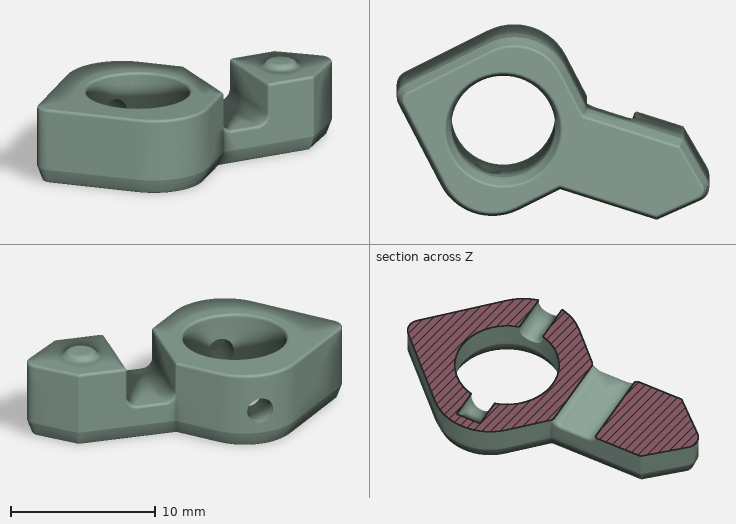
import cadquery as cq
import math

BODY_HEIGHT = 5.5
TOTAL_HEIGHT = 5.9

RING_HALF_WIDTH = 6.45
SIDE_RADIUS = 4.0
TIP_RADIUS = 1.0
ARM_WIDTH = 6.0
ARM_SHOULDER_Y = 12.15
TOTAL_LENGTH = 22.65

EDGE_ROUND = 0.2
TAPER_HEIGHT = 1.09
TAPER_ANGLE = 20.0

BORE_DIAMETER = 7.2
RADIAL_DIAMETER = 1.85
RADIAL_Z = 2.76
BLIND_DEPTH = 2.0

NOTCH_END_Y = 8.6
NOTCH_FLOOR_Z = 2.54
NOTCH_RADIUS = 0.8
NECK_OVERLAP = 0.9

BUTTON_Y = 11.1
BUTTON_DIAMETER = 2.22
BUTTON_ROUND = 0.5

arm_half = ARM_WIDTH / 2
diamond_reach = RING_HALF_WIDTH + SIDE_RADIUS * (math.sqrt(2) - 1)
neck_y = diamond_reach - arm_half
front_tip_y = -diamond_reach + TIP_RADIUS * (math.sqrt(2) - 1)
arm_tip_y = front_tip_y + TOTAL_LENGTH


def arm_apex():
    """Sharp apex whose sides are tangent to the tip circle."""
    center_y = arm_tip_y - TIP_RADIUS
    rise = center_y - ARM_SHOULDER_Y
    distance = math.hypot(arm_half, rise)
    slope = math.atan2(rise, arm_half) + math.asin(TIP_RADIUS / distance)
    return ARM_SHOULDER_Y + arm_half * math.tan(slope)


def round_vertical(body, x, y, radius):
    """Round the vertical edge at the given outline corner."""
    reach = 0.02
    corner = cq.selectors.BoxSelector(
        (x - reach, y - reach, -reach), (x + reach, y + reach, BODY_HEIGHT + reach)
    )
    return body.edges("|Z").edges(corner).fillet(radius)


def make_blank():
    """Full-height outline with a tapered skirt and the bore."""
    apex_y = arm_apex()
    corners = [
        (0, -diamond_reach),
        (diamond_reach, 0),
        (arm_half, neck_y),
        (arm_half, ARM_SHOULDER_Y),
        (0, apex_y),
        (-arm_half, ARM_SHOULDER_Y),
        (-arm_half, neck_y),
        (-diamond_reach, 0),
    ]
    body = (
        cq.Workplane("XY", origin=(0, 0, TAPER_HEIGHT))
        .polyline(corners).close()
        .extrude(BODY_HEIGHT - TAPER_HEIGHT)
    )
    body = round_vertical(body, 0, -diamond_reach, TIP_RADIUS)
    body = round_vertical(body, 0, apex_y, TIP_RADIUS)
    for side in (-1, 1):
        body = round_vertical(body, side * diamond_reach, 0, SIDE_RADIUS)
    skirt = (
        cq.Workplane("XY", origin=(0, 0, TAPER_HEIGHT))
        .add(body.faces("<Z").wires())
        .toPending()
        .extrude(-TAPER_HEIGHT, combine=False, taper=TAPER_ANGLE)
    )
    return body.union(skirt).cut(make_bore()).faces("<Z").edges().fillet(EDGE_ROUND)


def make_ring(blank):
    """Part of the blank up to the neck, with rounded top edges."""
    size = 2 * TOTAL_LENGTH
    beyond_neck = cq.Workplane("XY").box(size, size, size).translate((0, neck_y + size / 2, 0))
    ring = blank.cut(beyond_neck)
    return ring.faces(">Z").edges().fillet(EDGE_ROUND)


def make_arm_envelope():
    """Notched, pointed bar whose upper edges are rounded, including along the notch."""
    start_y = neck_y - NECK_OVERLAP
    ledge_z = NOTCH_FLOOR_Z + NOTCH_RADIUS
    apex_y = arm_apex()
    side_profile = (
        cq.Workplane("YZ", origin=(-arm_half, 0, 0))
        .moveTo(start_y, 0)
        .lineTo(start_y, ledge_z)
        .lineTo(neck_y, ledge_z)
        .radiusArc((neck_y + NOTCH_RADIUS, NOTCH_FLOOR_Z), -NOTCH_RADIUS)
        .lineTo(NOTCH_END_Y - NOTCH_RADIUS, NOTCH_FLOOR_Z)
        .radiusArc((NOTCH_END_Y, ledge_z), -NOTCH_RADIUS)
        .lineTo(NOTCH_END_Y, BODY_HEIGHT)
        .lineTo(apex_y, BODY_HEIGHT)
        .lineTo(apex_y, 0)
        .close()
        .extrude(ARM_WIDTH)
    )
    outline = (
        cq.Workplane("XY")
        .moveTo(-arm_half, start_y)
        .lineTo(arm_half, start_y)
        .lineTo(arm_half, ARM_SHOULDER_Y)
        .lineTo(0, apex_y)
        .lineTo(-arm_half, ARM_SHOULDER_Y)
        .close()
        .extrude(BODY_HEIGHT)
    )
    arm = round_vertical(side_profile.intersect(outline), 0, apex_y, TIP_RADIUS)
    notch_span = cq.selectors.BoxSelector(
        (-ARM_WIDTH, neck_y, NOTCH_FLOOR_Z / 2),
        (ARM_WIDTH, NOTCH_END_Y + EDGE_ROUND, BODY_HEIGHT - EDGE_ROUND),
    )
    notch_sides = arm.faces("<X or >X").edges(notch_span)
    return arm.faces(">Z").edges().add(notch_sides).fillet(EDGE_ROUND)


def make_bore():
    """Straight bore that flares out at the bottom with the same taper as the outside."""
    radius = BORE_DIAMETER / 2
    flare = TAPER_HEIGHT * math.tan(math.radians(TAPER_ANGLE))
    return (
        cq.Workplane("XZ")
        .lineTo(radius + flare, 0)
        .lineTo(radius, TAPER_HEIGHT)
        .lineTo(radius, BODY_HEIGHT)
        .lineTo(0, BODY_HEIGHT)
        .close()
        .revolve(360, (0, 0), (0, 1))
    )


def cut_radial_holes(body):
    """One hole opens through the -X wall; the opposite one is blind from the bore."""
    length = RING_HALF_WIDTH + BORE_DIAMETER / 2 + BLIND_DEPTH
    hole = (
        cq.Workplane("YZ", origin=(-RING_HALF_WIDTH, 0, RADIAL_Z))
        .circle(RADIAL_DIAMETER / 2)
        .extrude(length)
    )
    return body.cut(hole)


def make_button():
    """Low button with a flared foot and a rounded rim meeting at mid height."""
    middle = BUTTON_DIAMETER / 2
    half_height = (TOTAL_HEIGHT - BODY_HEIGHT) / 2
    run = math.sqrt(BUTTON_ROUND**2 - (BUTTON_ROUND - half_height) ** 2)
    middle_z = BODY_HEIGHT + half_height
    profile = (
        cq.Workplane("XZ", origin=(0, BUTTON_Y, 0))
        .moveTo(0, NOTCH_FLOOR_Z)
        .lineTo(middle + run, NOTCH_FLOOR_Z)
        .lineTo(middle + run, BODY_HEIGHT)
        .radiusArc((middle, middle_z), BUTTON_ROUND)
        .radiusArc((middle - run, TOTAL_HEIGHT), -BUTTON_ROUND)
        .lineTo(0, TOTAL_HEIGHT)
        .close()
    )
    return profile.revolve(360, (0, 0), (0, 1))


blank = make_blank()
ring = cut_radial_holes(make_ring(blank))
arm = blank.intersect(make_arm_envelope())
result = ring.union(arm).union(make_button())